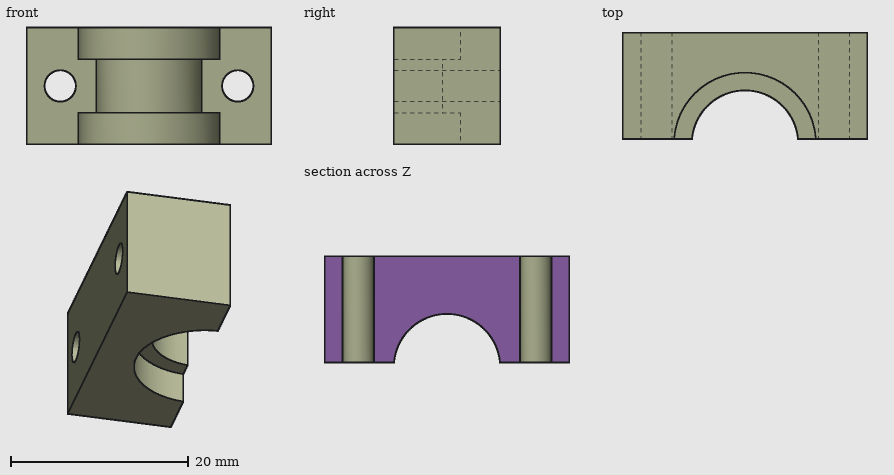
import cadquery as cq

length = 27.6
depth = 12.0
height = 13.2

axis_offset = 0.5
bore_radius = 6.0
recess_radius = 8.0
collar_height = 6.0

bolt_diameter = 3.5
bolt_spacing = 20.0

front_y = -depth / 2
axis_y = front_y - axis_offset
recess_depth = (height - collar_height) / 2


def bore_cylinder(radius, bottom_z, cylinder_height):
    """Cylinder on the bore axis, rising from bottom_z."""
    return (
        cq.Workplane("XY", origin=(0, axis_y, bottom_z))
        .circle(radius)
        .extrude(cylinder_height)
    )


block = cq.Workplane("XY").box(length, depth, height)

result = block.cut(bore_cylinder(bore_radius, -height / 2, height))
for recess_bottom in (-height / 2, collar_height / 2):
    result = result.cut(bore_cylinder(recess_radius, recess_bottom, recess_depth))

bolt_holes = (
    cq.Workplane("XZ", origin=(0, depth / 2, 0))
    .pushPoints([(-bolt_spacing / 2, 0), (bolt_spacing / 2, 0)])
    .circle(bolt_diameter / 2)
    .extrude(depth)
)
result = result.cut(bolt_holes)